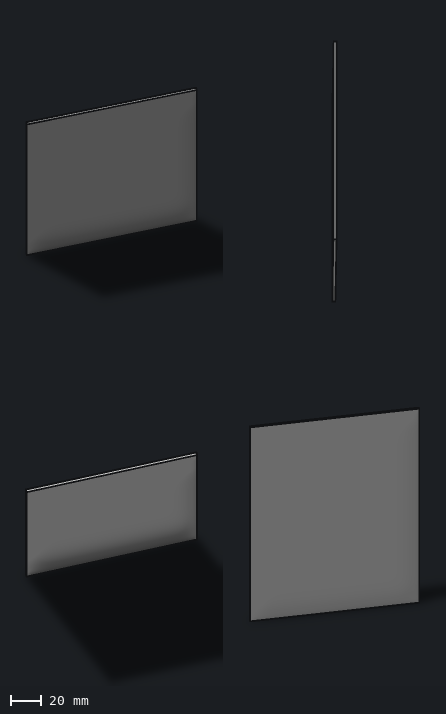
import cadquery as cq
import math

run_x = 51.5
run_y = 102.0
plate_thickness = 2.0
plate_height = 137.6

plate_length = math.hypot(run_x, run_y)
angle_from_x = math.degrees(math.atan2(run_y, run_x))

result = (
    cq.Workplane("XY")
    .box(plate_length, plate_thickness, plate_height)
    .rotate((0, 0, 0), (0, 0, 1), angle_from_x)
)